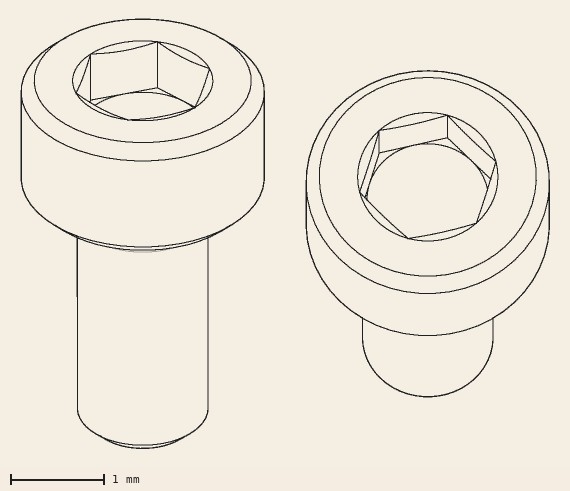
import cadquery as cq
import math

total_length = 4.4
head_diameter = 2.6
head_height = 1.4
head_chamfer = 0.14
shank_diameter = 1.4

neck_top_diameter = 1.68
neck_height = 0.32
neck_fillet_radius = 0.1

tip_diameter = 1.09
tip_height = 0.15

socket_flats = 1.3
socket_depth = 0.6
socket_cone_depth = 0.375
socket_chamfer_angle = 20

head_bottom = total_length - head_height
head_radius = head_diameter / 2
shank_radius = shank_diameter / 2
socket_corners = socket_flats / math.cos(math.pi / 6)


def make_body():
    """Revolve the head, neck and shank about Z, then fillet both ends of the neck."""
    neck_bottom = head_bottom - neck_height
    neck_top_radius = neck_top_diameter / 2
    body = (
        cq.Workplane("XZ")
        .moveTo(0, 0)
        .lineTo(tip_diameter / 2, 0)
        .lineTo(shank_radius, tip_height)
        .lineTo(shank_radius, neck_bottom)
        .lineTo(neck_top_radius, head_bottom)
        .lineTo(head_radius - head_chamfer, head_bottom)
        .lineTo(head_radius, head_bottom + head_chamfer)
        .lineTo(head_radius, total_length - head_chamfer)
        .lineTo(head_radius - head_chamfer, total_length)
        .lineTo(0, total_length)
        .close()
        .revolve(360, (0, 0, 0), (0, 1, 0))
    )
    neck_edges = body.edges(cq.selectors.BoxSelector(
        (-head_radius, -head_radius, neck_bottom - neck_fillet_radius),
        (head_radius, head_radius, head_bottom + neck_fillet_radius),
        boundingbox=True,
    )).edges("%CIRCLE")
    inner_edges = neck_edges.filter(lambda edge: edge.radius() < neck_top_radius + neck_fillet_radius)
    return inner_edges.fillet(neck_fillet_radius)


def make_cone(top_diameter, depth, top_height):
    """Make a point-down cone whose base lies at top_height."""
    return (
        cq.Workplane("XZ")
        .moveTo(0, top_height - depth)
        .lineTo(top_diameter / 2, top_height)
        .lineTo(0, top_height)
        .close()
        .revolve(360, (0, 0, 0), (0, 1, 0))
    )


def make_socket():
    """Make the hexagonal hole with its conical floor and chamfered mouth."""
    hexagon = (
        cq.Workplane("XY", origin=(0, 0, total_length))
        .transformed(rotate=(0, 0, 90))
        .polygon(6, socket_corners)
        .extrude(-socket_depth)
    )
    floor = make_cone(socket_flats, socket_cone_depth, total_length - socket_depth)
    mouth_depth = socket_corners / 2 * math.tan(math.radians(socket_chamfer_angle))
    mouth = make_cone(socket_corners, mouth_depth, total_length)
    return hexagon.union(floor).union(mouth)


result = make_body().cut(make_socket())